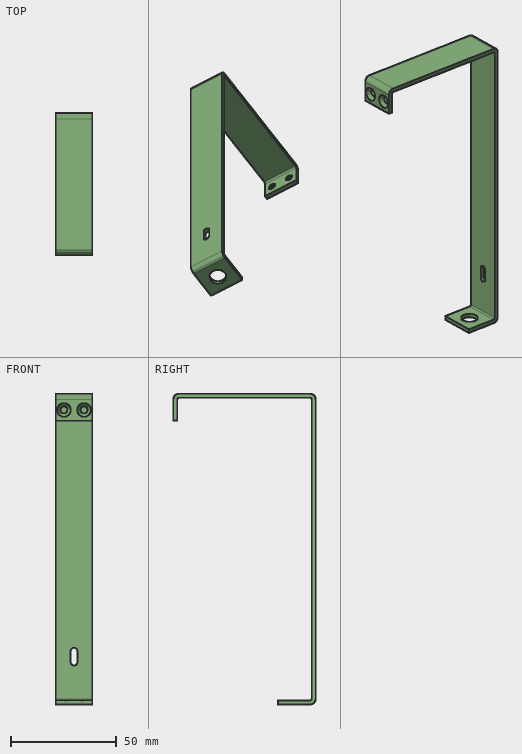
import cadquery as cq

width = 17.5
depth = 67.5
height = 147.22
thickness = 2.0
inner_bend_radius = 0.75
outer_bend_radius = inner_bend_radius + thickness

foot_reach = 18.0
foot_hole_diameter = 8.0
foot_hole_from_tip = 7.75

lip_height = 12.72
lip_hole_spacing = 9.5
lip_hole_from_edge = 5.0
lip_hole_back_diameter = 3.3
lip_hole_front_diameter = 6.5

slot_width = 3.1
slot_length = 8.3
slot_height = 22.7

front = -depth
lip_bottom = height - lip_height


def round_edge(body, y, z, radius):
    """Round the full-width edge that runs along X through (y, z)."""
    edge = cq.selectors.NearestToPointSelector((0, y, z))
    return body.edges("|X").edges(edge).fillet(radius)


def bent_strip():
    """Foot, upright, top leg and lip as one strip with three rounded bends."""
    outer_corners = [(0, 0), (0, height), (front, height)]
    inner_corners = [
        (-thickness, thickness),
        (-thickness, height - thickness),
        (front + thickness, height - thickness),
    ]
    lip_end = [(front, lip_bottom), (front + thickness, lip_bottom)]
    foot_end = [(-foot_reach, thickness), (-foot_reach, 0)]

    outline = outer_corners + lip_end + inner_corners[::-1] + foot_end
    body = cq.Workplane("YZ").polyline(outline).close().extrude(width / 2, both=True)
    for y, z in outer_corners:
        body = round_edge(body, y, z, outer_bend_radius)
    for y, z in inner_corners:
        body = round_edge(body, y, z, inner_bend_radius)
    return body


def foot_hole():
    """Round hole down through the foot."""
    center_y = -foot_reach + foot_hole_from_tip
    return (
        cq.Workplane("XY")
        .center(0, center_y)
        .circle(foot_hole_diameter / 2)
        .extrude(thickness)
    )


def upright_slot():
    """Vertical round-ended slot through the upright."""
    return (
        cq.Workplane("XZ")
        .center(0, slot_height)
        .slot2D(slot_length, slot_width, 90)
        .extrude(thickness)
    )


def lip_hole(x):
    """Conical screw hole through the lip at the given X, widest on the front face."""
    center = cq.Vector(x, front, lip_bottom + lip_hole_from_edge)
    inward = cq.Vector(0, 1, 0)
    return cq.Solid.makeCone(
        lip_hole_front_diameter / 2,
        lip_hole_back_diameter / 2,
        thickness,
        center,
        inward,
    )


result = bent_strip().cut(foot_hole()).cut(upright_slot())
for side in (-1, 1):
    result = result.cut(lip_hole(side * lip_hole_spacing / 2))